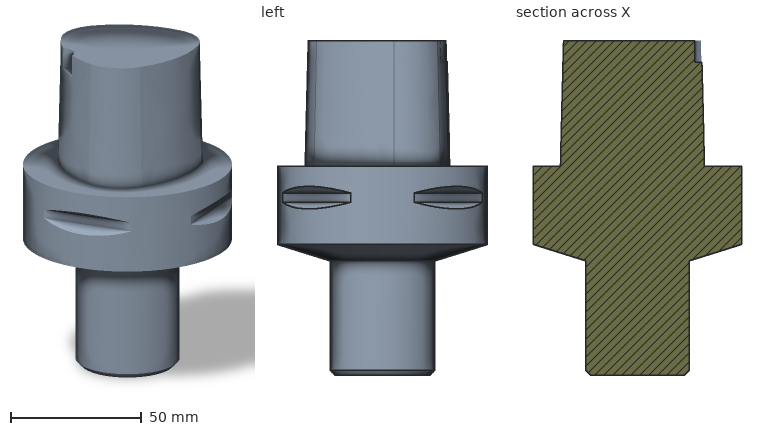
import cadquery as cq
import math

total_height = 128.0
shank_diameter = 40.0
shank_length = 43.8
shank_chamfer = 2.0

flange_diameter = 80.0
flange_height = 30.0
polygon_height = 48.0
flange_top = total_height - polygon_height
flange_bottom = flange_top - flange_height

groove_count = 4
groove_first_angle = 45
groove_depth = 4.5
groove_floor_width = 3.5
groove_side_angle = 30
groove_below_flange_top = 12.0
groove_overrun = 2.5

lobe_count = 3
lobe_reach = 29.6
lobe_radius = 17.4
flank_reach = 25.7
taper_ratio = 1 / 40

notch_radius = 6.7
notch_back = 22.0
notch_depth = 8.2


def polar_point(distance, degrees):
    angle = math.radians(degrees)
    return (distance * math.cos(angle), distance * math.sin(angle))


def make_body():
    """Shank, cone and flange as one turned solid."""
    shank_radius = shank_diameter / 2
    flange_radius = flange_diameter / 2
    return (
        cq.Workplane("XZ")
        .moveTo(0, 0)
        .lineTo(shank_radius - shank_chamfer, 0)
        .lineTo(shank_radius, shank_chamfer)
        .lineTo(shank_radius, shank_length)
        .lineTo(flange_radius, flange_bottom)
        .lineTo(flange_radius, flange_top)
        .lineTo(0, flange_top)
        .close()
        .revolve(360, (0, 0, 0), (0, 1, 0))
    )


def make_groove_cutter():
    """Groove section lying on +X, extruded along Y across the flange."""
    floor_x = flange_diameter / 2 - groove_depth
    mouth_x = flange_diameter / 2 + groove_overrun
    floor_half = groove_floor_width / 2
    mouth_half = floor_half + (mouth_x - floor_x) * math.tan(math.radians(groove_side_angle))
    return (
        cq.Workplane("XZ")
        .polyline([
            (floor_x, -floor_half),
            (mouth_x, -mouth_half),
            (mouth_x, mouth_half),
            (floor_x, floor_half),
        ])
        .close()
        .extrude(flange_diameter / 2, both=True)
        .translate((0, 0, flange_top - groove_below_flange_top))
    )


def make_polygon():
    """Lobe arcs alternating with flatter flank arcs, tangent where they meet."""
    lobe_offset = lobe_reach - lobe_radius
    reach_excess = flank_reach - lobe_radius
    flank_offset = (lobe_offset**2 - reach_excess**2) / (2 * reach_excess - lobe_offset)
    half_pitch = 180 / lobe_count
    across = flank_offset * math.sin(math.radians(half_pitch))
    along = lobe_offset + flank_offset * math.cos(math.radians(half_pitch))
    normal_angle = math.atan2(across, along)
    joint_across = lobe_radius * math.sin(normal_angle)
    joint_along = lobe_offset + lobe_radius * math.cos(normal_angle)
    joint_distance = math.hypot(joint_across, joint_along)
    joint_angle = math.degrees(math.atan2(joint_across, joint_along))

    first_lobe = 90
    outline = cq.Workplane("XY", origin=(0, 0, flange_top))
    outline = outline.moveTo(*polar_point(joint_distance, first_lobe - joint_angle))
    for index in range(lobe_count):
        lobe = first_lobe + 2 * half_pitch * index
        flank = lobe + half_pitch
        next_lobe = flank + half_pitch
        outline = outline.threePointArc(
            polar_point(lobe_reach, lobe),
            polar_point(joint_distance, lobe + joint_angle),
        )
        outline = outline.threePointArc(
            polar_point(flank_reach, flank),
            polar_point(joint_distance, next_lobe - joint_angle),
        )
    taper_angle = math.degrees(math.atan(taper_ratio))
    return outline.close().extrude(polygon_height, taper=taper_angle)


def make_notch_cutter():
    return (
        cq.Workplane("XY", origin=(0, 0, total_height - notch_depth))
        .center(0, -(notch_back + notch_radius))
        .circle(notch_radius)
        .extrude(notch_depth)
    )


result = make_body()
groove_cutter = make_groove_cutter()
for groove_index in range(groove_count):
    groove_angle = groove_first_angle + groove_index * 360 / groove_count
    result = result.cut(groove_cutter.rotate((0, 0, 0), (0, 0, 1), groove_angle))
result = result.union(make_polygon().cut(make_notch_cutter()))